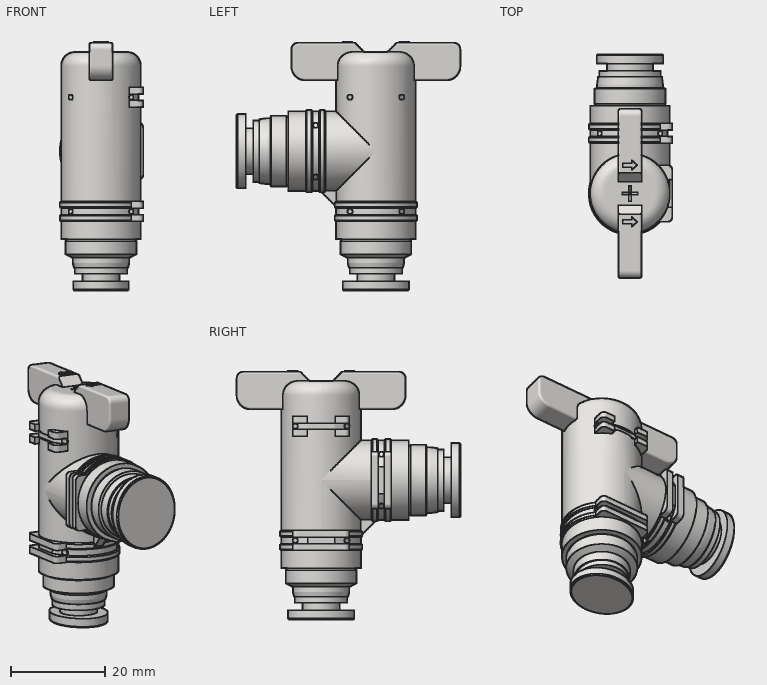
import cadquery as cq


body_diameter = 17.0
body_radius = body_diameter / 2
port_length = 18.7
cap_top = 21.15
cap_fillet = 3.0

port_clamp_offset = 12.8
upper_clamp_offset = 11.5
clamp_pitch = 2.8
clamp_width = 1.5
ring_radius = 8.8
ring_bevel = ring_radius - body_radius
tab_reach = 9.0
tab_half_width = 6.05
tab_corner_radius = 1.0
gap_flat = tab_reach - tab_corner_radius
window_half_width = 2.95
hole_diameter = 1.1
hole_spacing = 11.0
hole_floor_radius = 7.5

shoulder_start = 19.1
taper_end = 24.8
sleeve_end = 26.1
collar_start = 27.65
port_end = 29.65

lead_in_radius = 7.25
shoulder_radius = 7.55
collar_chamfer = 0.25
branch_seat = (22.3, 22.5, 23.2)
branch_radii = {"seat": 7.05, "taper": 6.85, "sleeve": 6.55, "neck": 4.9}
branch_collar = (7.1, 7.95)
lower_seat = (21.9, 22.7, 23.8)
lower_radii = {"seat": 6.05, "taper": 5.75, "sleeve": 5.6, "neck": 3.95}
lower_collar = (5.95, 7.1)

rib_reach = 20.3
rib_root = 7.4
rib_thickness = 2.0

handle_half_length = 18.0
handle_thickness = 5.0
handle_bottom = 15.05
handle_top = 23.1
wing_inner = 2.5
slope_run = handle_top - cap_top
upper_corner_radius = 1.5
lower_corner_radius = 3.0
handle_edge_fillet = 0.5

mark_height = 0.2
arrow_offset = 6.05
arrow_half_length = 1.55
arrow_head_start = 0.35
arrow_shaft_width = 0.85
arrow_head_width = 2.05
cross_half_length = 1.7
cross_width = 0.6


def cylinder(radius, start, end):
    return cq.Workplane("XY").workplane(offset=start).circle(radius).extrude(end - start)


def box(x_range, y_range, z_range):
    """Axis-aligned box given by its three ranges."""
    size = [high - low for low, high in (x_range, y_range, z_range)]
    corner = (x_range[0], y_range[0], z_range[0])
    return cq.Workplane("XY").box(*size, centered=False).translate(corner)


def clamp_centres(offset):
    return [offset - clamp_pitch / 2, offset + clamp_pitch / 2]


def ring(centre):
    """Raised ring around the Z axis with bevelled edges."""
    start = centre - clamp_width / 2
    return cylinder(ring_radius, start, start + clamp_width).edges().chamfer(ring_bevel)


def tab(centre):
    """Flat tab on the +X side with rounded outer corners."""
    half = clamp_width / 2
    block = box((0, tab_reach), (-tab_half_width, tab_half_width), (centre - half, centre + half))
    return block.edges("|Z and >X").fillet(tab_corner_radius)


def add_clamp(tube, offset, with_rings):
    """Add tabs, the flat between them, the cross holes and optionally the rings."""
    half_gap = (clamp_pitch - clamp_width) / 2
    gap_range = (offset - half_gap, offset + half_gap)
    tube = tube.cut(box((gap_flat, tab_reach), (-body_radius, body_radius), gap_range))
    for centre in clamp_centres(offset):
        tube = tube.union(tab(centre))
        if with_rings:
            tube = tube.union(ring(centre))
    holes = (
        cq.Workplane("YZ", origin=(0, 0, offset))
        .pushPoints([(-hole_spacing / 2, 0), (hole_spacing / 2, 0)])
        .circle(hole_diameter / 2)
        .extrude(body_radius, both=True)
    )
    core = cylinder(hole_floor_radius, offset - clamp_pitch, offset + clamp_pitch)
    return tube.cut(holes.cut(core))


def fitting(seat, radii, collar_half_axes):
    """Stepped fitting beyond the port mouth, ending in an oval release collar."""
    shoulder_end, seat_start, seat_end = seat
    profile = [
        (0, 0),
        (lead_in_radius, 0),
        (lead_in_radius, port_length),
        (shoulder_radius, shoulder_start),
        (shoulder_radius, shoulder_end),
        (radii["seat"], seat_start),
        (radii["seat"], seat_end),
        (radii["taper"], taper_end),
        (radii["sleeve"], taper_end),
        (radii["sleeve"], sleeve_end),
        (radii["neck"], sleeve_end),
        (radii["neck"], collar_start),
        (0, collar_start),
    ]
    stem = cq.Workplane("XZ").polyline(profile).close().revolve(360, (0, 0, 0), (0, 1, 0))
    half_x, half_y = collar_half_axes
    collar = (
        cq.Workplane("XY")
        .workplane(offset=collar_start)
        .transformed(rotate=(0, 0, 90))
        .ellipse(half_y, half_x)
        .extrude(port_end - collar_start)
        .faces(">Z")
        .chamfer(collar_chamfer)
    )
    return stem.union(collar)


def port(seat, radii, collar_half_axes):
    """Complete port along +Z, starting at the origin."""
    tube = add_clamp(cylinder(body_radius, 0, port_length), port_clamp_offset, True)
    return tube.union(fitting(seat, radii, collar_half_axes))


def upright():
    """Upper half of the body with its rounded cap, ringless tabs and the window splitting them."""
    tube = cylinder(body_radius, 0, cap_top).faces(">Z").edges().fillet(cap_fillet)
    tube = add_clamp(tube, upper_clamp_offset, False)
    window = box(
        (0, tab_reach),
        (-window_half_width, window_half_width),
        (upper_clamp_offset - clamp_pitch, upper_clamp_offset + clamp_pitch),
    )
    return tube.cut(window.cut(cylinder(body_radius, 0, cap_top)))


def corner_rib():
    """Triangular web at 45 degrees, its inner corner buried in the body."""
    tip = rib_reach - rib_root
    outline = [(rib_root, -rib_root), (tip, -rib_root), (rib_root, -tip)]
    return cq.Workplane("YZ").polyline(outline).close().extrude(rib_thickness / 2, both=True)


def wing():
    """Handle wing on the +Y side, with a 45 degree slope down to the cap."""
    outline = [
        (wing_inner, handle_bottom),
        (wing_inner, cap_top),
        (wing_inner + slope_run, handle_top),
        (handle_half_length, handle_top),
        (handle_half_length, handle_bottom),
    ]
    blade = cq.Workplane("YZ").polyline(outline).close().extrude(handle_thickness / 2, both=True)
    blade = blade.edges("|X and >Y and >Z").fillet(upper_corner_radius)
    blade = blade.edges("|X and >Y and <Z").fillet(lower_corner_radius)
    slope_end = wing_inner + slope_run
    rim = blade.faces("<X or >X").edges().filter(lambda edge: edge.Center().y > slope_end)
    return rim.fillet(handle_edge_fillet)


def arrow(y_centre):
    """Raised arrow pointing to +X on the handle top."""
    half_shaft = arrow_shaft_width / 2
    half_head = arrow_head_width / 2
    outline = [
        (-arrow_half_length, -half_shaft),
        (arrow_head_start, -half_shaft),
        (arrow_head_start, -half_head),
        (arrow_half_length, 0),
        (arrow_head_start, half_head),
        (arrow_head_start, half_shaft),
        (-arrow_half_length, half_shaft),
    ]
    base = cq.Workplane("XY", origin=(0, y_centre, handle_top))
    return base.polyline(outline).close().extrude(mark_height)


def cross_groove():
    """One V-bottomed bar of the cross, deepest at the cap centre."""
    outline = [
        (-cross_half_length, cap_top),
        (cross_half_length, cap_top),
        (0, cap_top - cross_half_length),
    ]
    return cq.Workplane("YZ").polyline(outline).close().extrude(cross_width / 2, both=True)


branch_port = port(branch_seat, branch_radii, branch_collar).rotate((0, 0, 0), (1, 0, 0), -90)
lower_port = port(lower_seat, lower_radii, lower_collar).rotate((0, 0, 0), (1, 0, 0), 180)

result = upright().union(lower_port).union(branch_port)
result = result.union(corner_rib(), clean=False)
for blade in (wing(), wing().mirror("XZ")):
    result = result.union(blade, clean=False)
for y_centre in (arrow_offset, -arrow_offset):
    result = result.union(arrow(y_centre), clean=False)
for angle in (0, 90):
    result = result.cut(cross_groove().rotate((0, 0, 0), (0, 0, 1), angle), clean=False)